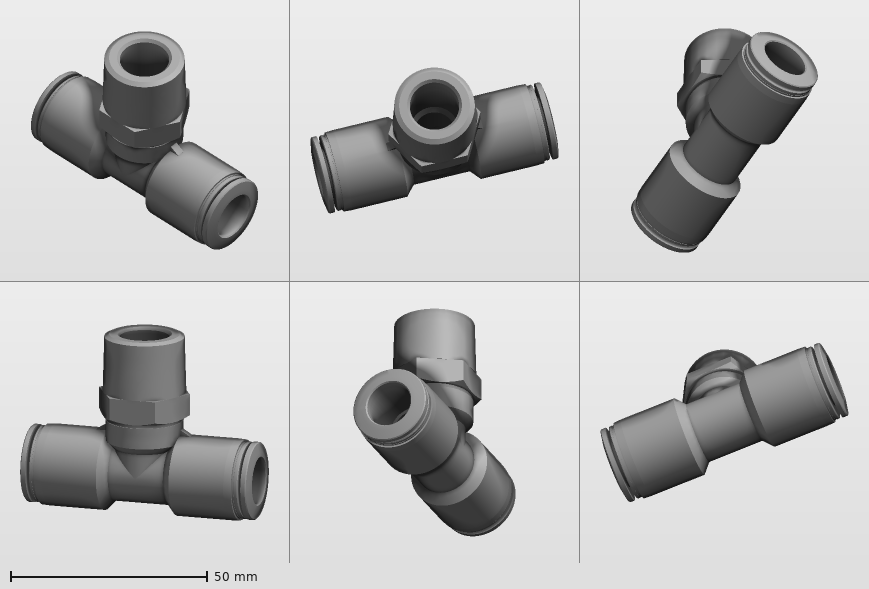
import cadquery as cq
import math

half_length = 30.7
body_radius = 21.0 / 2
body_rim_radius = 10.4
body_rim_x = 26.35
body_taper_x = 24.3
shoulder_x = 9.7
waist_radius = 7.9
waist_x = 7.35

cap_radius = 19.8 / 2
cap_face_x = 27.9
cap_chamfer = 0.2
cap_groove_outer_x = 27.15
cap_groove_inner_x = 26.8
cap_groove_radius = 19.5 / 2

flange_radius = 20.0 / 2
flange_back_x = 28.75
flange_edge_x = 29.9
flange_chamfer = 0.25
crown_middle_x = 30.5
crown_middle_radius = 8.1
sleeve_radius = 12.8 / 2
sleeve_relief_radius = 12.6 / 2
sleeve_relief_x = 28.35

through_radius = 10.3 / 2
tube_radius = 12.0 / 2
tube_mouth_radius = 12.6 / 2
tube_stop_x = 14.75

collar_bottom_z = 8.55
collar_bottom_radius = 19.8 / 2
collar_top_z = 14.0
collar_top_radius = 20.0 / 2
stem_cone_z = collar_bottom_z - (collar_bottom_radius - waist_radius)
gap_radius = 19.5 / 2

hex_bottom_z = 15.0
hex_top_z = 21.5
hex_flats = 21.0
hex_corners = hex_flats / math.cos(math.radians(30))
hex_chamfer_angle = 30.0
thread_top_z = 36.5
thread_base_radius = 21.35 / 2
thread_end_radius = 20.55 / 2
thread_tip_radius = 18.05 / 2
thread_chamfer_height = 0.6

stem_bore_radius = 12.6 / 2
stem_mouth_radius = 14.0 / 2
stem_bore_bottom_z = hex_bottom_z

gusset_width = 2.1
gusset_end_x = 12.5
gusset_top_x = 10.0
gusset_top_z = 12.05


def revolve_about_z(points):
    """Turn a closed (radius, z) outline about the Z axis."""
    return cq.Workplane("XZ").polyline(points).close().revolve(360, (0, 0), (0, 1))


def run_end():
    """Outside of the +X half of the run, turned about the X axis."""
    return (
        cq.Workplane("XY")
        .moveTo(0, 0)
        .lineTo(0, waist_radius)
        .lineTo(waist_x, waist_radius)
        .lineTo(shoulder_x, body_radius)
        .lineTo(body_taper_x, body_radius)
        .lineTo(body_rim_x, body_rim_radius)
        .lineTo(body_rim_x, cap_radius)
        .lineTo(cap_groove_inner_x, cap_radius)
        .lineTo(cap_groove_inner_x, cap_groove_radius)
        .lineTo(cap_groove_outer_x, cap_groove_radius)
        .lineTo(cap_groove_outer_x, cap_radius)
        .lineTo(cap_face_x - cap_chamfer, cap_radius)
        .lineTo(cap_face_x, cap_radius - cap_chamfer)
        .lineTo(cap_face_x, sleeve_radius)
        .lineTo(sleeve_relief_x, sleeve_radius)
        .lineTo(sleeve_relief_x, sleeve_relief_radius)
        .lineTo(flange_back_x, sleeve_relief_radius)
        .lineTo(flange_back_x, flange_radius)
        .lineTo(flange_edge_x, flange_radius)
        .lineTo(flange_edge_x + flange_chamfer, flange_radius - flange_chamfer)
        .threePointArc((crown_middle_x, crown_middle_radius), (half_length, tube_mouth_radius))
        .lineTo(half_length, 0)
        .close()
        .revolve(360, (0, 0), (1, 0))
    )


def tube_socket():
    """Cutter for the +X tube socket, with a chamfered mouth and the through bore behind it."""
    mouth_depth = tube_mouth_radius - tube_radius
    return (
        cq.Workplane("XY")
        .polyline([
            (0, 0),
            (0, through_radius),
            (tube_stop_x, through_radius),
            (tube_stop_x, tube_radius),
            (half_length - mouth_depth, tube_radius),
            (half_length, tube_mouth_radius),
            (half_length, 0),
        ])
        .close()
        .revolve(360, (0, 0), (1, 0))
    )


def stem():
    """Stem below the hexagon: neck, cone, tapered collar and the gap under the hexagon."""
    return revolve_about_z([
        (0, 0),
        (waist_radius, 0),
        (waist_radius, stem_cone_z),
        (collar_bottom_radius, collar_bottom_z),
        (collar_top_radius, collar_top_z),
        (gap_radius, collar_top_z),
        (gap_radius, hex_bottom_z),
        (0, hex_bottom_z),
    ])


def hexagon():
    """Hexagon with corners on the X axis and its lower corners chamfered."""
    prism = (
        cq.Workplane("XY", origin=(0, 0, hex_bottom_z))
        .polygon(6, hex_corners)
        .extrude(hex_top_z - hex_bottom_z)
    )
    bottom_radius = hex_flats / 2
    corner_radius = hex_corners / 2
    chamfer_height = (corner_radius - bottom_radius) * math.tan(math.radians(hex_chamfer_angle))
    envelope = revolve_about_z([
        (0, hex_bottom_z),
        (bottom_radius, hex_bottom_z),
        (corner_radius, hex_bottom_z + chamfer_height),
        (corner_radius, hex_top_z),
        (0, hex_top_z),
    ])
    return prism.intersect(envelope)


def thread():
    """Plain tapered thread body with a chamfered tip."""
    return revolve_about_z([
        (0, hex_top_z),
        (thread_base_radius, hex_top_z),
        (thread_end_radius, thread_top_z - thread_chamfer_height),
        (thread_tip_radius, thread_top_z),
        (0, thread_top_z),
    ])


def stem_bore():
    """Cutter for the stem bore: chamfered mouth, then a cone down to the through bore size."""
    return revolve_about_z([
        (0, 0),
        (through_radius, 0),
        (through_radius, stem_bore_bottom_z - (stem_bore_radius - through_radius)),
        (stem_bore_radius, stem_bore_bottom_z),
        (stem_bore_radius, thread_top_z - (stem_mouth_radius - stem_bore_radius)),
        (stem_mouth_radius, thread_top_z),
        (0, thread_top_z),
    ])


def gusset():
    """Sloped gusset on the +X side, rooted inside the body and the collar."""
    root_x = gap_radius - 0.6
    root_z = body_radius - 0.6
    return (
        cq.Workplane("XZ")
        .polyline([
            (root_x, root_z),
            (gusset_end_x, root_z),
            (gusset_end_x, body_radius),
            (gusset_top_x, gusset_top_z),
            (root_x, gusset_top_z),
        ])
        .close()
        .extrude(gusset_width / 2, both=True)
    )


def both_sides(shape):
    """Join a +X shape with its mirror image on the -X side."""
    return shape.union(shape.mirror("YZ"))


outside = both_sides(run_end()).union(stem()).union(hexagon()).union(thread())
outside = outside.union(both_sides(gusset()))
result = outside.cut(both_sides(tube_socket())).cut(stem_bore())